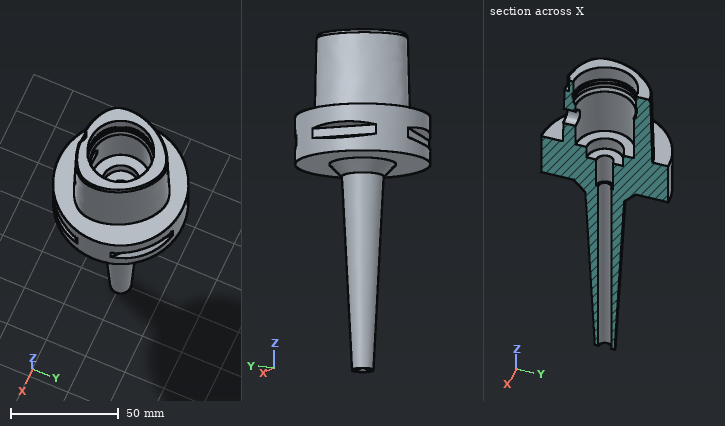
import cadquery as cq
import math

total_height = 158.0
flange_height = 22.3
tail_height = 37.9
neck_height = 5.8
flange_top = total_height - tail_height
flange_bottom = flange_top - flange_height
neck_bottom = flange_bottom - neck_height

flange_diameter = 63.0
flange_radius = flange_diameter / 2
neck_radius = 15.5
shank_radius = 9.8
tip_radius = 5.0

tail_base_radius = 22.3
tail_taper = 0.026
lobe_height = 1.5
tail_chamfer_height = 1.6
tail_chamfer_width = 0.6
outline_points = 72

mouth_radius = 15.5
mouth_depth = 12.0
relief_radius = 16.0
relief_depth = 7.7
relief_height = 2.0
bore_lead_in_height = 1.9
bore_radius = 14.4
bore_depth = 37.9
pocket_radius = 9.0
pocket_depth = 44.2
thread_radius = 4.1
thread_depth = 60.0
through_radius = 3.2

groove_floor_spacing = 54.8
groove_floor_distance = groove_floor_spacing / 2
groove_floor_height = 4.5
groove_mouth_height = 7.6
groove_depth_below_top = 12.0
groove_z = flange_top - groove_depth_below_top
groove_count = 4

slot_radius = 4.3
slot_depth = 6.3
slot_floor_y = -17.9
cross_hole_radius = 4.3
cross_hole_depth = 22.5
cross_hole_z = total_height - cross_hole_depth


def lobed_outline(mean_radius, z):
    """Constant-width three-lobed curve with one lobe pointing to +Y."""
    points = []
    for i in range(outline_points):
        angle = 2 * math.pi * i / outline_points
        along = (mean_radius * math.cos(angle) + 2 * lobe_height * math.cos(2 * angle)
                 - lobe_height * math.cos(4 * angle))
        across = (mean_radius * math.sin(angle) - 2 * lobe_height * math.sin(2 * angle)
                  - lobe_height * math.sin(4 * angle))
        points.append((-across, along))
    return cq.Workplane("XY", origin=(0, 0, z)).spline(points, periodic=True).close().val()


def lobed_frustum(bottom_radius, top_radius, bottom_z, top_z):
    bottom = lobed_outline(bottom_radius, bottom_z)
    top = lobed_outline(top_radius, top_z)
    return cq.Workplane(cq.Solid.makeLoft([bottom, top], True))


def make_tail():
    chamfer_z = total_height - tail_chamfer_height
    chamfer_radius = tail_base_radius - tail_taper * (chamfer_z - flange_top)
    body = lobed_frustum(tail_base_radius, chamfer_radius, flange_top, chamfer_z)
    lead_in = lobed_frustum(chamfer_radius, chamfer_radius - tail_chamfer_width, chamfer_z, total_height)
    return body.union(lead_in)


def make_turned_body():
    profile = [
        (0, 0),
        (tip_radius, 0),
        (shank_radius, neck_bottom),
        (neck_radius, flange_bottom),
        (flange_radius, flange_bottom),
        (flange_radius, flange_top),
        (0, flange_top),
    ]
    return cq.Workplane("XZ").polyline(profile).close().revolve(360, (0, 0), (0, 1))


def make_bore():
    mouth_z = total_height - mouth_depth
    relief_top = total_height - relief_depth
    relief_bottom = relief_top - relief_height
    bore_z = total_height - bore_depth
    pocket_z = total_height - pocket_depth
    thread_z = total_height - thread_depth
    profile = [
        (0, total_height),
        (mouth_radius, total_height),
        (mouth_radius, relief_top),
        (relief_radius, relief_top),
        (relief_radius, relief_bottom),
        (mouth_radius, relief_bottom),
        (mouth_radius, mouth_z),
        (bore_radius, mouth_z - bore_lead_in_height),
        (bore_radius, bore_z),
        (pocket_radius, bore_z),
        (pocket_radius, pocket_z),
        (thread_radius, pocket_z),
        (thread_radius, thread_z),
        (through_radius, thread_z),
        (through_radius, 0),
        (0, 0),
    ]
    return cq.Workplane("XZ").polyline(profile).close().revolve(360, (0, 0), (0, 1))


def make_groove(angle):
    """Straight groove with a flat floor and flanks that open outwards."""
    half_floor = groove_floor_height / 2
    half_mouth = groove_mouth_height / 2
    profile = [
        (groove_floor_distance, groove_z - half_floor),
        (flange_radius, groove_z - half_mouth),
        (flange_radius, groove_z + half_mouth),
        (groove_floor_distance, groove_z + half_floor),
    ]
    groove = cq.Workplane("XZ").polyline(profile).close().extrude(flange_radius, both=True)
    return groove.rotate((0, 0, 0), (0, 0, 1), angle)


def make_key_slot():
    center_y = slot_floor_y - slot_radius
    plane = cq.Workplane("XY", origin=(0, center_y, total_height - slot_depth))
    return plane.circle(slot_radius).extrude(slot_depth)


def make_cross_hole():
    plane = cq.Workplane("XZ", origin=(0, 0, cross_hole_z))
    return plane.circle(cross_hole_radius).extrude(flange_radius)


result = make_turned_body().union(make_tail()).cut(make_bore())
for i in range(groove_count):
    result = result.cut(make_groove((i + 0.5) * 360 / groove_count))
result = result.cut(make_key_slot()).cut(make_cross_hole())